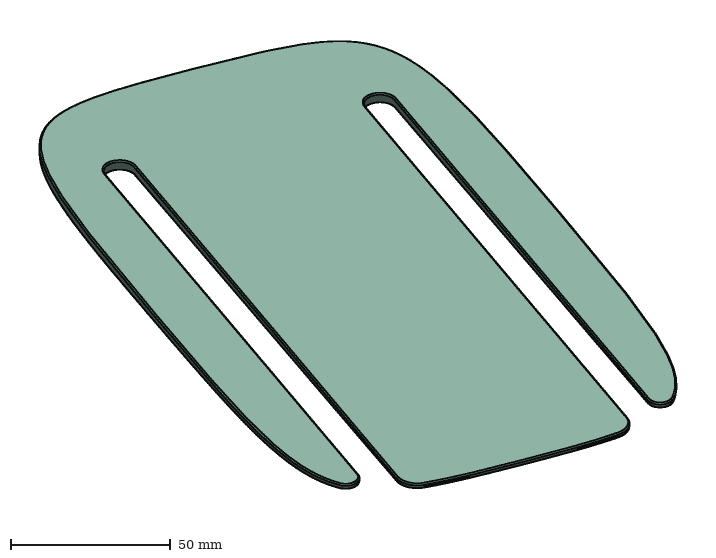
import cadquery as cq
import math

LENGTH = 243.5
WIDTH = 140.0
THICKNESS = 4.1
TAPER_ANGLE = 0.5

LENGTH_PULL = 0.97
WIDTH_PULL = 0.98

TONGUE_WIDTH = 80.1
SLOT_WIDTH = 10.0
SLOT_END_X = -84.5

TONGUE_RADIUS = 7.3
ARM_RADIUS = 4.5
CORNER_ZONE = 24.4
CORNER_MARGIN = 0.2

TOP_CHAMFER = 0.5
BOTTOM_FILLET = 1.0

half_length = LENGTH / 2
half_width = WIDTH / 2
tongue_wall_y = TONGUE_WIDTH / 2
arm_wall_y = tongue_wall_y + SLOT_WIDTH
slot_center_y = (tongue_wall_y + arm_wall_y) / 2


def plate_blank():
    """Flat plate whose outline is one quarter curve, mirrored into all four quarters."""
    handle_x = half_length * LENGTH_PULL
    handle_y = half_width * WIDTH_PULL
    outline = cq.Workplane("XY")
    for x_sign, y_sign in ((1, 1), (-1, 1), (-1, -1), (1, -1)):
        quarter = [
            (x_sign * half_length, 0),
            (x_sign * half_length, y_sign * handle_y),
            (x_sign * handle_x, y_sign * half_width),
            (0, y_sign * half_width),
        ]
        if x_sign != y_sign:
            quarter.reverse()
        outline = outline.bezier(quarter)
    return outline.close().extrude(THICKNESS)


def slot(side):
    """Round-ended slot that runs out through the +X end."""
    center_x = SLOT_END_X + LENGTH / 2
    return (
        cq.Workplane("XY")
        .center(center_x, side * slot_center_y)
        .slot2D(LENGTH, SLOT_WIDTH)
        .extrude(THICKNESS)
    )


def round_slot_corners(body, wall_y, radius):
    """Round the upright corners where the slot walls at +wall_y and -wall_y meet the outline."""
    for y in (wall_y, -wall_y):
        corner = cq.selectors.BoxSelector(
            (half_length - CORNER_ZONE, y - CORNER_MARGIN, 0),
            (half_length, y + CORNER_MARGIN, THICKNESS),
        )
        body = body.edges(corner).fillet(radius)
    return body


def top_wedge():
    """Material above the sloping top face."""
    drop = LENGTH * math.tan(math.radians(TAPER_ANGLE))
    return (
        cq.Workplane("XZ")
        .moveTo(-half_length, THICKNESS)
        .lineTo(half_length, THICKNESS - drop)
        .lineTo(half_length, THICKNESS)
        .close()
        .extrude(half_width, both=True)
    )


plate = plate_blank()
for side in (1, -1):
    plate = plate.cut(slot(side))

plate = round_slot_corners(plate, tongue_wall_y, TONGUE_RADIUS)
plate = round_slot_corners(plate, arm_wall_y, ARM_RADIUS)
plate = plate.cut(top_wedge())

plate = plate.faces(">Z").edges().chamfer(TOP_CHAMFER)
result = plate.faces("<Z").edges().fillet(BOTTOM_FILLET)